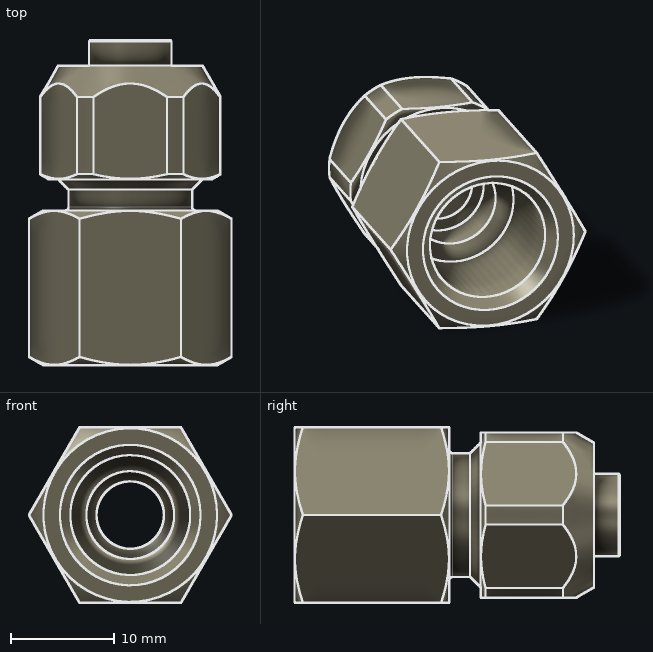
import cadquery as cq
import math

body_across_flats = 17.0
body_length = 15.0
body_face_diameter = 16.8
neck_diameter = 12.0
neck_end = 17.0
neck_fillet = 0.3
collar_diameter = 14.0

nut_start = 18.0
nut_end = 29.0
nut_across_flats = 16.0
nut_corner_diameter = 17.5
nut_front_face_diameter = 15.8
nut_rear_face_diameter = 14.0

tube_diameter = 8.0
tube_end = 31.5
tube_chamfer = 0.15

bore_diameter = 6.5
step_diameter = 8.5
socket_diameter = 11.6
mouth_diameter = 13.6
socket_depth = 12.0
step_end = 17.0

hex_chamfer_slope = math.tan(math.radians(30))
nut_rear_slope = math.tan(math.radians(60))
drill_tip_slope = math.tan(math.radians(30))


def revolve_profile(points):
    """Turn (radius, station) points about the Y axis into a solid."""
    return cq.Workplane("XY").polyline(points).close().revolve(360, (0, 0, 0), (0, 1, 0))


def hex_prism(across_flats, start, end):
    """Hexagonal bar along +Y with two corners on the X axis."""
    corner_diameter = across_flats / math.cos(math.radians(30))
    plane = cq.Plane(origin=(0, start, 0), xDir=(1, 0, 0), normal=(0, 1, 0))
    return cq.Workplane(plane).polygon(6, corner_diameter).extrude(end - start)


def make_body_hex():
    """Hexagon with both ends turned to a conical chamfer."""
    face_radius = body_face_diameter / 2
    corner_radius = body_across_flats / 2 / math.cos(math.radians(30))
    chamfer_length = (corner_radius - face_radius) * hex_chamfer_slope
    envelope = revolve_profile([
        (0, 0),
        (face_radius, 0),
        (corner_radius, chamfer_length),
        (corner_radius, body_length - chamfer_length),
        (face_radius, body_length),
        (0, body_length),
    ])
    return hex_prism(body_across_flats, 0, body_length).intersect(envelope)


def make_neck():
    """Round neck with a filleted root, flaring out to the collar under the nut."""
    neck_radius = neck_diameter / 2
    root_center = (neck_radius + neck_fillet, body_length + neck_fillet)
    arc_offset = neck_fillet * math.cos(math.radians(45))
    profile = (
        cq.Workplane("XY")
        .moveTo(0, body_length)
        .lineTo(root_center[0], body_length)
        .threePointArc(
            (root_center[0] - arc_offset, root_center[1] - arc_offset),
            (neck_radius, root_center[1]),
        )
        .lineTo(neck_radius, neck_end)
        .lineTo(collar_diameter / 2, nut_start)
        .lineTo(0, nut_start)
        .close()
    )
    return profile.revolve(360, (0, 0, 0), (0, 1, 0))


def make_nut():
    """Hexagon nut with turned corners, a short front chamfer and a long rear cone."""
    front_radius = nut_front_face_diameter / 2
    rear_radius = nut_rear_face_diameter / 2
    corner_radius = nut_corner_diameter / 2
    front_chamfer_length = (corner_radius - front_radius) * hex_chamfer_slope
    rear_cone_length = (corner_radius - rear_radius) * nut_rear_slope
    envelope = revolve_profile([
        (0, nut_start),
        (front_radius, nut_start),
        (corner_radius, nut_start + front_chamfer_length),
        (corner_radius, nut_end - rear_cone_length),
        (rear_radius, nut_end),
        (0, nut_end),
    ])
    return hex_prism(nut_across_flats, nut_start, nut_end).intersect(envelope)


def make_tube():
    """Plain tube end with a small edge chamfer."""
    radius = tube_diameter / 2
    return revolve_profile([
        (0, nut_end),
        (radius, nut_end),
        (radius, tube_end - tube_chamfer),
        (radius - tube_chamfer, tube_end),
        (0, tube_end),
    ])


def make_bore():
    """Chamfered socket and a smaller step, both with conical floors, then the through passage."""
    mouth_radius = mouth_diameter / 2
    socket_radius = socket_diameter / 2
    step_radius = step_diameter / 2
    bore_radius = bore_diameter / 2
    mouth_length = mouth_radius - socket_radius
    step_start = socket_depth + (socket_radius - step_radius) * drill_tip_slope
    bore_start = step_end + (step_radius - bore_radius) * drill_tip_slope
    return revolve_profile([
        (0, 0),
        (mouth_radius, 0),
        (socket_radius, mouth_length),
        (socket_radius, socket_depth),
        (step_radius, step_start),
        (step_radius, step_end),
        (bore_radius, bore_start),
        (bore_radius, tube_end),
        (0, tube_end),
    ])


result = make_body_hex().union(make_neck()).union(make_nut()).union(make_tube()).cut(make_bore())